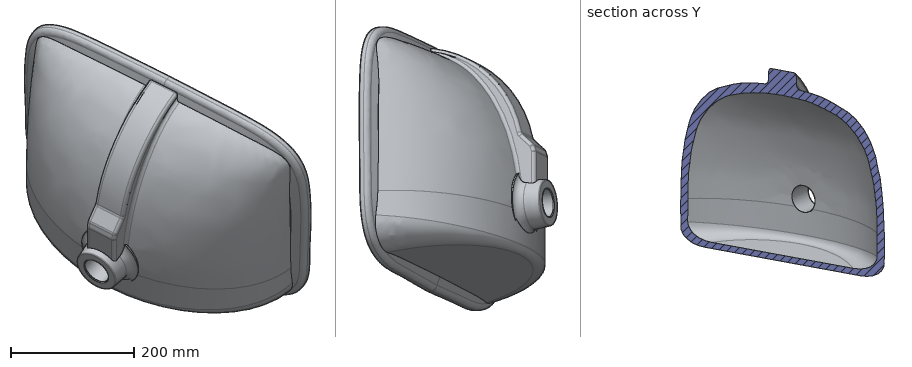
import cadquery as cq
import math


RIM_HALF_WIDTH = 276.315
RIM_HALF_HEIGHT = 203.01
RIM_THICKNESS = 17.5
RIM_FRONT_ROUND = 9.0
RIM_BACK_ROUND = 2.0
RIM_ROUND_SECTIONS = 5
COLLAR_BOTTOM_INSET = 24.0
COLLAR_DEPTH = 24.0

BOWL_HALF_WIDTH = 253.5
BOWL_DEPTH = 178.0
BOWL_CENTER_Z = -90.0
BOWL_RISE = 274.0
TOP_NARROWING = 0.25
TOP_NARROWING_POWER = 30
WALL_FOOT_BACK_Z = -128.0
WALL_FOOT_FRONT_Z = -146.0
FLOOR_BACK_Z = -184.5
FLOOR_FRONT_Z = -158.0
FLOOR_SIDE_ROUND = 52.0
FLOOR_FRONT_ROUND = 12.0
WALL_THICKNESS = 10.0
TOP_CLOSING_ANGLE = 85.5
TOP_SECTIONS = 12
FLOOR_SECTIONS = 6

DRAIN_Z = -75.0
DRAIN_DEPTH = 215.21
DRAIN_BORE_RADIUS = 22.75
DRAIN_BORE_CHAMFER = 1.5
BOSS_TIP_RADIUS = 37.6
BOSS_BASE_RADIUS = 41.0
BOSS_BASE_DEPTH = 189.0
BOSS_FLARE_RADIUS = 55.0
BOSS_FLARE_DEPTH = 175.5
BOSS_FLARE_MIDDLE_RADIUS = 45.0
BOSS_FLARE_MIDDLE_DEPTH = 179.0
BOSS_EDGE_ROUND = 1.5

CHANNEL_HALF_WIDTH = 28.0
CHANNEL_TOP_Z = 194.5
CHANNEL_TOP_DEPTH = 20.0
CHANNEL_MIDDLE_Z = 147.5
CHANNEL_MIDDLE_DEPTH = 116.0
STEP_START_Z = 39.0
STEP_START_DEPTH = 178.0
STEP_END_Z = 18.0
STEP_END_DEPTH = 200.0
SHELF_Z = 7.0
SHELF_DEPTH = 203.5
STEP_ROUND = 7.0
CHANNEL_EDGE_ROUND = 6.0
CHANNEL_FOOT_BLEND = 6.0
CHANNEL_START_DEPTH = 15.0
TOLERANCE = 0.1


def rim_outline(inset, depth):
    """Closed rim outline, drawn in by inset, as a workplane wire at the given depth."""
    x_scale = 1 - inset / RIM_HALF_WIDTH
    z_scale = 1 - inset / RIM_HALF_HEIGHT
    right_side = [
        (90, 202.0),
        (162, 199.8),
        (216, 190),
        (248, 170),
        (266, 140),
        (274, 95),
        (RIM_HALF_WIDTH, 25),
        (274, -60),
        (268.5, -130),
        (260, -151.5),
        (246, -170),
        (212, -190),
        (112, -200.4),
    ]
    right_side = [(x * x_scale, z * z_scale) for x, z in right_side]
    left_side = [(-x, z) for x, z in reversed(right_side)]
    top = (0, RIM_HALF_HEIGHT - inset)
    bottom = (0, inset - RIM_HALF_HEIGHT)
    return (
        cq.Workplane("XZ", origin=(0, -depth, 0))
        .moveTo(*top)
        .spline(right_side + [bottom], tangents=[(1, 0), (-1, 0)], includeCurrent=True)
        .spline(left_side + [top], tangents=[(-1, 0), (1, 0)], includeCurrent=True)
        .close()
    )


def rim_loft(profile, ruled):
    """Solid through rim outlines given as (inset, depth) pairs."""
    outlines = [rim_outline(inset, depth).wires().val() for inset, depth in profile]
    return cq.Workplane(obj=cq.Solid.makeLoft(outlines, ruled))


def make_rim():
    round_start = RIM_THICKNESS - RIM_FRONT_ROUND
    plate = rim_outline(0, 0).extrude(round_start)
    plate = plate.faces(">Y").edges().fillet(RIM_BACK_ROUND)
    front_profile = []
    for i in range(RIM_ROUND_SECTIONS + 1):
        angle = math.radians(90 * i / RIM_ROUND_SECTIONS)
        front_profile.append(
            (RIM_FRONT_ROUND * (1 - math.cos(angle)), round_start + RIM_FRONT_ROUND * math.sin(angle))
        )
    front = rim_loft(front_profile, False)
    collar = rim_loft([(RIM_FRONT_ROUND, RIM_THICKNESS), (COLLAR_BOTTOM_INSET, COLLAR_DEPTH)], True)
    return plate.union(front).union(collar)


def bowl_section(half_width, depth, back_z, front_z):
    """Half ellipse from the mounting plane at back_z to full depth at front_z, closed by its chord."""
    slant = math.hypot(depth, front_z - back_z)
    normal = cq.Vector(0, front_z - back_z, depth)
    arc = cq.Edge.makeEllipse(
        half_width, slant, cq.Vector(0, 0, back_z), normal, cq.Vector(1, 0, 0), 180, 360
    )
    chord = cq.Edge.makeLine(arc.endPoint(), arc.startPoint())
    return cq.Wire.assembleEdges([arc, chord])


def top_section(inset, angle):
    """Section of the upper bowl at an angle (degrees) along its closing ellipse."""
    rise_ratio = math.sin(math.radians(angle))
    narrowing = 1 - TOP_NARROWING * rise_ratio**TOP_NARROWING_POWER
    z = BOWL_CENTER_Z + (BOWL_RISE - inset) * rise_ratio
    depth = (BOWL_DEPTH - inset) * math.sqrt(1 - rise_ratio**2)
    return bowl_section((BOWL_HALF_WIDTH - inset) * narrowing, depth, z, z)


def make_upper_bowl(inset):
    step = TOP_CLOSING_ANGLE / TOP_SECTIONS
    sections = [top_section(inset, i * step) for i in range(TOP_SECTIONS + 1)]
    return cq.Workplane(obj=cq.Solid.makeLoft(sections))


def floor_section(inset, angle):
    """Section of the rounded floor, from the wall foot (0 degrees) to the flat floor (90 degrees)."""
    drop = math.sin(math.radians(angle))
    shrink = 1 - math.cos(math.radians(angle))
    return bowl_section(
        BOWL_HALF_WIDTH - inset - FLOOR_SIDE_ROUND * shrink,
        BOWL_DEPTH - inset - FLOOR_FRONT_ROUND * shrink,
        WALL_FOOT_BACK_Z + inset + (FLOOR_BACK_Z - WALL_FOOT_BACK_Z) * drop,
        WALL_FOOT_FRONT_Z + inset + (FLOOR_FRONT_Z - WALL_FOOT_FRONT_Z) * drop,
    )


def make_lower_bowl(inset):
    """Upright wall below the level of full depth, with the rounded floor under it."""
    step = 90 / FLOOR_SECTIONS
    floor_sections = [floor_section(inset, i * step) for i in range(FLOOR_SECTIONS + 1)]
    floor = cq.Solid.makeLoft(floor_sections)
    wall = cq.Solid.makeLoft([floor_sections[0], top_section(inset, 0)], True)
    return cq.Workplane(obj=wall).union(cq.Workplane(obj=floor))


def is_channel_side(edge):
    return abs(abs(edge.Center().x) - CHANNEL_HALF_WIDTH) < TOLERANCE


def is_channel_crest(edge):
    box = edge.BoundingBox()
    at_cut_end = box.zmax < BOWL_CENTER_Z + TOLERANCE or box.ymin > -CHANNEL_START_DEPTH - TOLERANCE
    return is_channel_side(edge) and not at_cut_end


def is_channel_foot(edge):
    return is_channel_side(edge) and edge.geomType() == "BSPLINE"


def outside_rim(shape):
    """Part of a shape in front of the channel's starting depth."""
    reach = 4 * RIM_HALF_WIDTH
    block = cq.Workplane("XZ", origin=(0, -CHANNEL_START_DEPTH, 0)).rect(reach, reach).extrude(reach)
    return shape.intersect(block)


def make_channel():
    channel = (
        cq.Workplane("YZ")
        .moveTo(0, CHANNEL_TOP_Z)
        .lineTo(-CHANNEL_TOP_DEPTH, CHANNEL_TOP_Z)
        .threePointArc((-CHANNEL_MIDDLE_DEPTH, CHANNEL_MIDDLE_Z), (-STEP_START_DEPTH, STEP_START_Z))
        .lineTo(-STEP_END_DEPTH, STEP_END_Z)
        .lineTo(-SHELF_DEPTH, SHELF_Z)
        .lineTo(-SHELF_DEPTH, BOWL_CENTER_Z)
        .lineTo(0, BOWL_CENTER_Z)
        .close()
        .extrude(CHANNEL_HALF_WIDTH, both=True)
    )
    step_corners = cq.selectors.BoxSelector(
        (-CHANNEL_HALF_WIDTH, -SHELF_DEPTH - TOLERANCE, SHELF_Z - TOLERANCE),
        (CHANNEL_HALF_WIDTH, -STEP_START_DEPTH + TOLERANCE, STEP_START_Z + TOLERANCE),
    )
    channel = channel.edges("|X").edges(step_corners).fillet(STEP_ROUND)
    channel = outside_rim(channel)
    return channel.edges().filter(is_channel_crest).fillet(CHANNEL_EDGE_ROUND)


def make_upper_bowl_with_channel():
    body = outside_rim(make_upper_bowl(0)).union(make_channel())
    return body.edges().filter(is_channel_foot).fillet(CHANNEL_FOOT_BLEND)


def make_boss():
    flare_middle = (BOSS_FLARE_MIDDLE_RADIUS, -BOSS_FLARE_MIDDLE_DEPTH)
    return (
        cq.Workplane("XY")
        .moveTo(0, -BOWL_DEPTH / 2)
        .lineTo(BOSS_FLARE_RADIUS, -BOWL_DEPTH / 2)
        .lineTo(BOSS_FLARE_RADIUS, -BOSS_FLARE_DEPTH)
        .threePointArc(flare_middle, (BOSS_BASE_RADIUS, -BOSS_BASE_DEPTH))
        .lineTo(BOSS_TIP_RADIUS, -DRAIN_DEPTH)
        .lineTo(0, -DRAIN_DEPTH)
        .close()
        .revolve(360, (0, 0), (0, 1))
        .faces("<Y").edges().fillet(BOSS_EDGE_ROUND)
        .translate((0, 0, DRAIN_Z))
    )


def make_bore():
    bore = cq.Workplane("XZ").center(0, DRAIN_Z).circle(DRAIN_BORE_RADIUS).extrude(DRAIN_DEPTH)
    mouth_cone = cq.Solid.makeCone(
        DRAIN_BORE_RADIUS + DRAIN_BORE_CHAMFER,
        DRAIN_BORE_RADIUS,
        DRAIN_BORE_CHAMFER,
        pnt=cq.Vector(0, -DRAIN_DEPTH, DRAIN_Z),
        dir=cq.Vector(0, 1, 0),
    )
    return bore.union(cq.Workplane(obj=mouth_cone))


outside = (
    make_upper_bowl_with_channel()
    .union(outside_rim(make_lower_bowl(0)))
    .union(make_rim())
    .union(make_boss())
)
cavity = make_upper_bowl(WALL_THICKNESS).union(make_lower_bowl(WALL_THICKNESS))

result = outside.cut(cavity).cut(make_bore())